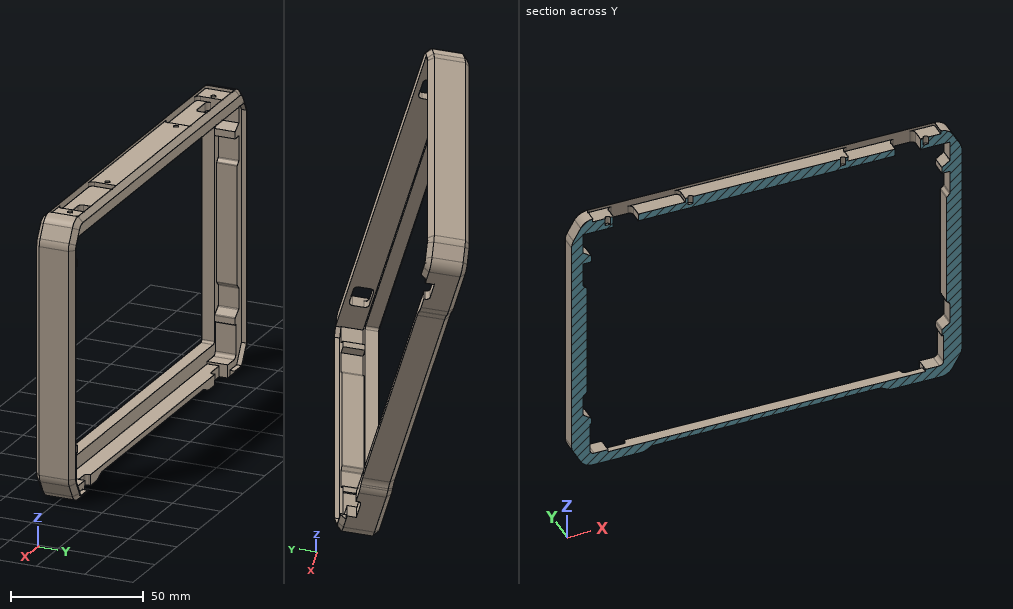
import cadquery as cq
import math

WIDTH = 160.0
DEPTH = 16.2
HEIGHT = 114.5
HALF_WIDTH = WIDTH / 2
EDGE_CHAMFER = 2.1

CORNER_INSET = 5.5
CORNER_ANGLE = 60.0
CORNER_DROP = CORNER_INSET * math.tan(math.radians(CORNER_ANGLE))
BEND_RADIUS = 5.8
FOOT_HEIGHT = 2.0
FOOT_RAMP_ANGLE = 30.0
FOOT_RAMP_RUN = FOOT_HEIGHT / math.tan(math.radians(FOOT_RAMP_ANGLE))
FOOT_INNER_X = 50.2

BEZEL_DEPTH = 5.6
WINDOW_HALF_WIDTH = 71.5
WINDOW_BOTTOM = 10.2
WINDOW_TOP = 106.1
WINDOW_RADIUS = 1.0
WINDOW_CHAMFER = 0.4
WINDOW_CHAMFER_ANGLE = 45.0

CAVITY_BACK = DEPTH - EDGE_CHAMFER
CAVITY_TOP = 108.0
FLOOR_MIDDLE = 4.5
FLOOR_CORNER = 5.5
CATCH_X = 71.7
PAD_X = 72.3
RAIL_X = 73.6
RECESS_X = 75.0
FLOOR_FILLET = 1.6
WALL_FILLET = 0.5
LOWER_CATCH_Z = 19.0
UPPER_CATCH_Z = 94.4
CATCH_HEIGHT = 2.9
CATCH_SLOPE = 2.4
RAIL_BOTTOM = 34.4
RAIL_TOP = 82.9
RAIL_SLOPE = RECESS_X - RAIL_X

SEAT_WALL = 2.5
BOTTOM_EDGE_BACK = 12.6
NOTCH_BACK = 10.5
NOTCH_INNER_X = 56.5
NOTCH_OUTER_X = 65.0
NOTCH_RADIUS = 1.5
NOTCH_RELIEF = 2.0

TOP_POCKET_HALF = HALF_WIDTH - CORNER_INSET - BEND_RADIUS * math.tan(math.radians(CORNER_ANGLE / 2))
TOP_POCKET_DEPTH = 1.3
TOP_POCKET_RADIUS = 1.0
DEEP_POCKET_INNER_X = 33.5
DEEP_POCKET_OUTER_X = 62.9
DEEP_POCKET_DEPTH = 3.0
DEEP_POCKET_RADIUS = 1.6
SLOT_INNER_X = 52.6
SLOT_FRONT = 6.4
SLOT_RADIUS = 1.6
SCREW_OFFSET = 2.2
SCREW_DIAMETER = 2.0
SCREW_DEPTH = 3.2


def cut_block(x_min, x_max, y_min, y_max, z_min, z_max):
    """Box given by its limits."""
    size = (x_max - x_min, y_max - y_min, z_max - z_min)
    return cq.Workplane("XY").box(*size, centered=False).translate((x_min, y_min, z_min))


def extrude_back(profile, start, end):
    """Extrude an XZ profile from Y = start to Y = end."""
    return profile.extrude(start - end).translate((0, start, 0))


def both_sides(shape):
    """Shape together with its mirror image across the centre plane."""
    return shape.union(shape.mirror("YZ"))


def make_outline():
    right = [
        (FOOT_INNER_X - FOOT_RAMP_RUN, FOOT_HEIGHT),
        (FOOT_INNER_X, 0),
        (HALF_WIDTH - CORNER_INSET, 0),
        (HALF_WIDTH, CORNER_DROP),
        (HALF_WIDTH, HEIGHT - CORNER_DROP),
        (HALF_WIDTH - CORNER_INSET, HEIGHT),
    ]
    left = [(-x, z) for x, z in reversed(right)]
    return cq.Workplane("XZ").polyline(right + left).close()


def make_body():
    block = extrude_back(make_outline(), 0, DEPTH).edges("|Y").fillet(BEND_RADIUS)
    return block.faces("<Y or >Y").chamfer(EDGE_CHAMFER)


def make_window():
    window = cut_block(
        -WINDOW_HALF_WIDTH, WINDOW_HALF_WIDTH, 0, BEZEL_DEPTH, WINDOW_BOTTOM, WINDOW_TOP
    )
    window = window.edges("|Y").fillet(WINDOW_RADIUS)
    flare = window.faces("<Y").wires().toPending().workplane().offset2D(WINDOW_CHAMFER)
    flare = flare.extrude(-WINDOW_CHAMFER, taper=WINDOW_CHAMFER_ANGLE, combine=False)
    return window.union(flare)


def catch_points(base_z):
    """Side wall points of a catch with a sloped top, from bottom to top."""
    catch_top = base_z + CATCH_HEIGHT
    return [(CATCH_X, base_z), (CATCH_X, catch_top), (RECESS_X, catch_top + CATCH_SLOPE)]


def make_cavity():
    wall = [
        (PAD_X, LOWER_CATCH_Z),
        *catch_points(LOWER_CATCH_Z),
        (RECESS_X, RAIL_BOTTOM - RAIL_SLOPE),
        (RAIL_X, RAIL_BOTTOM),
        (RAIL_X, RAIL_TOP),
        (RECESS_X, RAIL_TOP + RAIL_SLOPE),
        (RECESS_X, UPPER_CATCH_Z),
        *catch_points(UPPER_CATCH_Z),
        (RECESS_X, CAVITY_TOP),
        (0, CAVITY_TOP),
    ]
    profile = (
        cq.Workplane("XZ")
        .moveTo(0, FLOOR_MIDDLE)
        .lineTo(NOTCH_OUTER_X, FLOOR_MIDDLE)
        .lineTo(NOTCH_OUTER_X, FLOOR_CORNER)
        .lineTo(PAD_X - FLOOR_FILLET, FLOOR_CORNER)
        .tangentArcPoint((PAD_X, FLOOR_CORNER + FLOOR_FILLET), relative=False)
        .polyline(wall, includeCurrent=True)
        .close()
    )
    half = extrude_back(profile, BEZEL_DEPTH, CAVITY_BACK)
    stepped_wall = cq.selectors.BoxSelector(
        (CATCH_X - WALL_FILLET, 0, LOWER_CATCH_Z + CATCH_HEIGHT / 2),
        (RECESS_X + WALL_FILLET, DEPTH, UPPER_CATCH_Z - CATCH_HEIGHT),
    )
    half = half.edges("|Y").edges(stepped_wall).fillet(WALL_FILLET)
    return both_sides(half)


def make_cover_seat():
    inner = extrude_back(make_outline().offset2D(-SEAT_WALL, "intersection"), CAVITY_BACK, DEPTH)
    below_top = cut_block(-HALF_WIDTH, HALF_WIDTH, CAVITY_BACK, DEPTH, 0, CAVITY_TOP)
    return inner.intersect(below_top)


def make_bottom_cutback():
    middle = cut_block(-NOTCH_OUTER_X, NOTCH_OUTER_X, BOTTOM_EDGE_BACK, DEPTH, 0, WINDOW_BOTTOM)
    notch = cut_block(NOTCH_INNER_X, NOTCH_OUTER_X, NOTCH_BACK, DEPTH, 0, WINDOW_BOTTOM)
    notch = notch.edges("|Z and <X and <Y").fillet(NOTCH_RADIUS)
    relief = cut_block(
        NOTCH_INNER_X, NOTCH_OUTER_X + NOTCH_RELIEF, CAVITY_BACK, DEPTH, 0, WINDOW_BOTTOM
    )
    return middle.union(both_sides(notch.union(relief)))


def top_pocket(x_min, x_max, y_min, bottom, radius):
    """Round-cornered recess from the top edge down to Z = bottom."""
    pocket = cut_block(x_min, x_max, y_min, CAVITY_BACK, bottom, HEIGHT)
    return pocket.edges("|Z").fillet(radius)


def make_top_recesses():
    floor = HEIGHT - TOP_POCKET_DEPTH
    recess = top_pocket(-TOP_POCKET_HALF, TOP_POCKET_HALF, EDGE_CHAMFER, floor, TOP_POCKET_RADIUS)
    deep = top_pocket(
        DEEP_POCKET_INNER_X,
        DEEP_POCKET_OUTER_X,
        EDGE_CHAMFER,
        HEIGHT - DEEP_POCKET_DEPTH,
        DEEP_POCKET_RADIUS,
    )
    slot = top_pocket(SLOT_INNER_X, DEEP_POCKET_OUTER_X, SLOT_FRONT, WINDOW_TOP, SLOT_RADIUS)
    screw_spots = [
        (DEEP_POCKET_INNER_X - SCREW_OFFSET, DEPTH / 2),
        (DEEP_POCKET_OUTER_X + SCREW_OFFSET, DEPTH / 2),
    ]
    screws = (
        cq.Workplane("XY", origin=(0, 0, floor))
        .pushPoints(screw_spots)
        .circle(SCREW_DIAMETER / 2)
        .extrude(-SCREW_DEPTH)
    )
    return recess.union(both_sides(deep.union(slot).union(screws)))


result = (
    make_body()
    .cut(make_window())
    .cut(make_cavity())
    .cut(make_cover_seat())
    .cut(make_bottom_cutback())
    .cut(make_top_recesses())
    .solids()
)